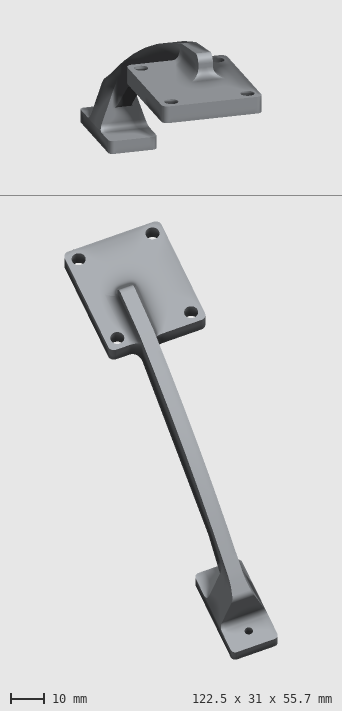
import cadquery as cq
import math

foot_length = 30.0
foot_width = 15.0
foot_height = 4.0
foot_corner_radius = 1.5
foot_hole_x = 5.5
foot_hole_diameter = 2.5

post_front = 10.0
post_back = 20.1
post_taper_top = 19.0
post_base_radius = 2.0
post_side_radius = 9.8
post_back_radius = 1.1
post_edge_radius = 2.5

plate_left = 85.3
plate_right = 122.5
plate_front = -19.7
plate_back = 11.3
plate_bottom = 43.7
plate_top = 49.0
plate_corner_radius = 1.8
plate_hole_inset = 3.7
plate_hole_diameter = 4.2

arm_width = 4.5
arm_end = 101.5
arm_top = 55.7
arm_end_radius = 2.5
arch_start = (post_front, 16.2)
arch_middle = (49.1, 39.9)
arch_end = (84.8, 53.8)
underside_bend = (31.4, 21.1)
underside_start = (post_back, 10.8)
collar_radius = 3.0

half_arm = arm_width / 2
half_foot = foot_width / 2


def pad(x_min, x_max, y_min, y_max, z_min, z_max, corner_radius):
    """Flat rectangular pad with rounded vertical corners."""
    block = cq.Workplane("XY").box(x_max - x_min, y_max - y_min, z_max - z_min, centered=False)
    return block.translate((x_min, y_min, z_min)).edges("|Z").fillet(corner_radius)


def extrude_across(profile, width):
    """Extrude an XZ outline symmetrically about the XZ plane."""
    return profile.close().extrude(width / 2, both=True)


def arc_middle(center, radius, x_sign, y_sign):
    """Middle point of a quarter arc on the given side of its center."""
    reach = radius * math.sqrt(0.5)
    return (center[0] + x_sign * reach, center[1] + y_sign * reach)


def make_arm():
    end_center = (arm_end - arm_end_radius, arm_top - arm_end_radius)
    outline = (
        cq.Workplane("XZ")
        .moveTo(*arch_start)
        .threePointArc(arch_middle, arch_end)
        .lineTo(arm_end - arm_end_radius, arm_top)
        .threePointArc(
            arc_middle(end_center, arm_end_radius, 1, 1),
            (arm_end, end_center[1]),
        )
        .lineTo(arm_end, plate_bottom)
        .lineTo(plate_left, plate_bottom)
        .lineTo(*underside_bend)
        .lineTo(*underside_start)
        .lineTo(post_front, underside_start[1])
    )
    return extrude_across(outline, arm_width)


def make_post():
    slope_angle = math.atan((half_foot - half_arm) / (post_taper_top - foot_height))
    tangent_length = post_side_radius * math.tan(slope_angle / 2)
    blend_low = (
        half_arm + tangent_length * math.sin(slope_angle),
        post_taper_top - tangent_length * math.cos(slope_angle),
    )
    blend_high = (half_arm, post_taper_top + tangent_length)
    blend_middle = (
        half_arm + post_side_radius * (1 - math.cos(slope_angle / 2)),
        blend_high[1] - post_side_radius * math.sin(slope_angle / 2),
    )
    flanks = (
        cq.Workplane("YZ")
        .moveTo(0, foot_height)
        .lineTo(half_foot, foot_height)
        .lineTo(*blend_low)
        .threePointArc(blend_middle, blend_high)
        .lineTo(0, blend_high[1])
        .close()
        .extrude(foot_length)
    )
    flanks = flanks.union(flanks.mirror("XZ"))

    base_level = foot_height + post_base_radius
    front_center = (post_front - post_base_radius, base_level)
    back_center = (post_back + post_base_radius, base_level)
    blend_back = post_back + post_back_radius
    side = (
        cq.Workplane("XZ")
        .moveTo(front_center[0], foot_height)
        .threePointArc(arc_middle(front_center, post_base_radius, 1, -1), (post_front, base_level))
        .lineTo(*arch_start)
        .threePointArc(arch_middle, arch_end)
        .lineTo(arch_end[0], plate_bottom)
        .lineTo(*underside_bend)
        .lineTo(*underside_start)
        .lineTo(post_back, base_level)
        .threePointArc(arc_middle(back_center, post_base_radius, -1, -1), (back_center[0], foot_height))
    )

    blend_center = (blend_back, half_arm + post_back_radius)
    plan = (
        cq.Workplane("XY", origin=(0, 0, base_level))
        .lineTo(0, half_foot)
        .lineTo(post_back, half_foot)
        .lineTo(post_back, blend_center[1])
        .threePointArc(arc_middle(blend_center, post_back_radius, -1, -1), (blend_back, half_arm))
        .lineTo(blend_back, 0)
        .close()
        .extrude(arm_top)
    )
    plan = plan.union(plan.mirror("XZ"))
    base = cq.Workplane("XY").box(foot_length, foot_width, base_level, centered=(False, True, False))
    return extrude_across(side, foot_width).intersect(flanks).intersect(plan.union(base))


def make_collar():
    half_collar = half_arm + collar_radius
    collar_top = plate_top + collar_radius
    collar_start = plate_left - collar_radius
    collar_end = arm_end + collar_radius
    underside_slope = (plate_bottom - underside_bend[1]) / (plate_left - underside_bend[0])

    side = (
        cq.Workplane("XZ")
        .moveTo(collar_start, plate_bottom - collar_radius * underside_slope)
        .lineTo(plate_left, plate_bottom)
        .lineTo(collar_end, plate_bottom)
        .lineTo(collar_end, plate_top)
        .threePointArc(arc_middle((collar_end, collar_top), collar_radius, -1, -1), (arm_end, collar_top))
        .lineTo(collar_start, collar_top)
    )
    section = (
        cq.Workplane("YZ")
        .lineTo(half_collar, 0)
        .lineTo(half_collar, plate_top)
        .threePointArc(arc_middle((half_collar, collar_top), collar_radius, -1, -1), (half_arm, collar_top))
        .lineTo(0, collar_top)
        .close()
        .extrude(plate_right)
    )
    plan = (
        cq.Workplane("XY")
        .moveTo(collar_start, 0)
        .lineTo(collar_start, half_arm)
        .threePointArc(
            arc_middle((collar_start, half_collar), collar_radius, 1, -1),
            (plate_left, half_collar),
        )
        .lineTo(plate_right, half_collar)
        .lineTo(plate_right, 0)
        .close()
        .extrude(arm_top)
    )
    half_envelope = section.intersect(plan)
    envelope = half_envelope.union(half_envelope.mirror("XZ"))
    return extrude_across(side, 2 * half_collar).intersect(envelope)


foot = pad(0, foot_length, -half_foot, half_foot, 0, foot_height, foot_corner_radius)
plate = pad(plate_left, plate_right, plate_front, plate_back, plate_bottom, plate_top, plate_corner_radius)

upright = make_arm().union(make_post())
edge_margin = 0.1
front_edge = cq.selectors.BoxSelector(
    (post_front - edge_margin, -half_foot, arch_start[1] - edge_margin),
    (post_front + edge_margin, half_foot, arch_start[1] + edge_margin),
)
upright = upright.edges(front_edge).fillet(post_edge_radius)

result = foot.union(plate).union(upright).union(make_collar())

foot_hole = cq.Workplane("XY").center(foot_hole_x, 0).circle(foot_hole_diameter / 2).extrude(foot_height)
result = result.cut(foot_hole)
for hole_x in (plate_left + plate_hole_inset, plate_right - plate_hole_inset):
    for hole_y in (plate_front + plate_hole_inset, plate_back - plate_hole_inset):
        plate_hole = (
            cq.Workplane("XY", origin=(hole_x, hole_y, plate_bottom))
            .circle(plate_hole_diameter / 2)
            .extrude(plate_top - plate_bottom)
        )
        result = result.cut(plate_hole)